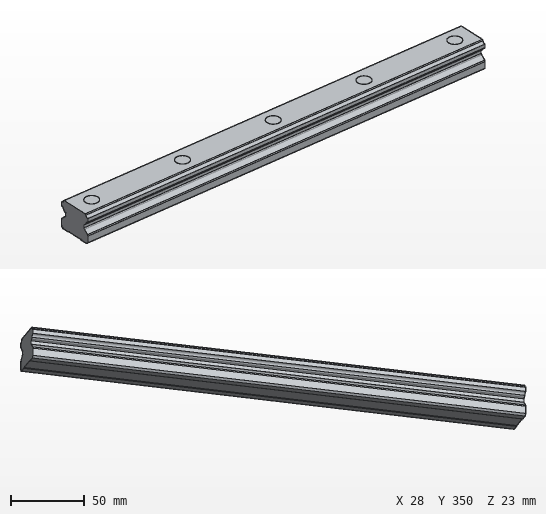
import cadquery as cq

LENGTH = 350
WIDTH = 28
HEIGHT = 23.0

TOP_HALF_WIDTH = 11.2
TRACK_HALF_WIDTH = 12.0
UPPER_TRACK_TOP_Z = 22.5
HEAD_TOP_Z = 20.5
HEAD_BOTTOM_Z = 17.5
LOWER_TRACK_BOTTOM_Z = 15.5
TRACK_SAGITTA = 0.55

NECK_SHOULDER_HALF_WIDTH = 11.0
NECK_SHOULDER_Z = 14.5
NECK_HALF_WIDTH = 9.8
NECK_TOP_Z = 13.5
NECK_BOTTOM_Z = 11.2
NECK_STEP_HALF_WIDTH = 10.5
NECK_STEP_Z = 10.5
FLANK_HALF_WIDTH = 13.5
FLANK_Z = 7.7

BASE_TOP_Z = 6.5
BASE_CHAMFER = 1.5
RELIEF_HALF_WIDTH = 7.0
RELIEF_FLOOR_HALF_WIDTH = 6.3
RELIEF_DEPTH = 0.5

HOLE_COUNT = 5
HOLE_END_DISTANCE = 15.0
HOLE_PITCH = (LENGTH - 2 * HOLE_END_DISTANCE) / (HOLE_COUNT - 1)
HOLE_DIAMETER = 11.0
CAP_RECESS = 0.18


def half_rail():
    """Right half of the rail, drawn upwards from the middle of the underside."""
    half_width = WIDTH / 2
    return (
        cq.Workplane("XZ", origin=(0, 0, -HEIGHT / 2))
        .moveTo(0, RELIEF_DEPTH)
        .lineTo(RELIEF_FLOOR_HALF_WIDTH, RELIEF_DEPTH)
        .lineTo(RELIEF_HALF_WIDTH, 0)
        .lineTo(half_width - BASE_CHAMFER, 0)
        .lineTo(half_width, BASE_CHAMFER)
        .lineTo(half_width, BASE_TOP_Z)
        .lineTo(FLANK_HALF_WIDTH, FLANK_Z)
        .lineTo(NECK_STEP_HALF_WIDTH, NECK_STEP_Z)
        .lineTo(NECK_HALF_WIDTH, NECK_BOTTOM_Z)
        .lineTo(NECK_HALF_WIDTH, NECK_TOP_Z)
        .lineTo(NECK_SHOULDER_HALF_WIDTH, NECK_SHOULDER_Z)
        .lineTo(TRACK_HALF_WIDTH, LOWER_TRACK_BOTTOM_Z)
        .sagittaArc((half_width, HEAD_BOTTOM_Z), TRACK_SAGITTA)
        .lineTo(half_width, HEAD_TOP_Z)
        .sagittaArc((TRACK_HALF_WIDTH, UPPER_TRACK_TOP_Z), TRACK_SAGITTA)
        .lineTo(TOP_HALF_WIDTH, HEIGHT)
        .lineTo(0, HEIGHT)
        .close()
        .extrude(LENGTH / 2, both=True)
    )


def rail_body():
    right_half = half_rail()
    return right_half.union(right_half.mirror("YZ")).clean()


def cap_recesses():
    return (
        cq.Workplane("XY", origin=(0, 0, HEIGHT / 2))
        .rarray(3.5, HOLE_PITCH, 1, HOLE_COUNT)
        .circle(HOLE_DIAMETER / 2)
        .extrude(-CAP_RECESS)
    )


result = rail_body().cut(cap_recesses())